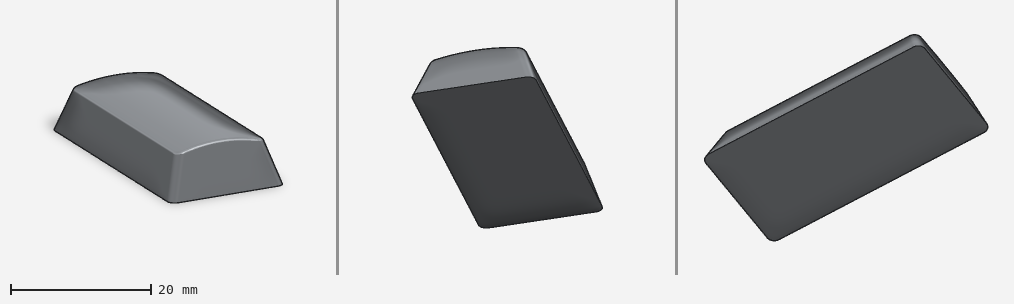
import cadquery as cq

length = 37.35
width = 18.3
height = 7.5

side_draft = 17.7
crown_radius = 25.4
corner_radius = 1.27
rim_radius = 0.52


def tapered_body():
    """Rectangular frustum whose corner edges are rounded."""
    body = cq.Workplane("XY").rect(length, width).extrude(height, taper=side_draft)
    corner_edges = body.edges("not #Z")
    return corner_edges.fillet(corner_radius)


def crown_cylinder():
    """Cylinder along X that reaches the full height at the middle of the width."""
    return (
        cq.Workplane("YZ")
        .center(0, height - crown_radius)
        .circle(crown_radius)
        .extrude(length / 2, both=True)
    )


key_cap = tapered_body().intersect(crown_cylinder())
result = key_cap.faces("%CYLINDER").faces(">Z").edges().fillet(rim_radius)